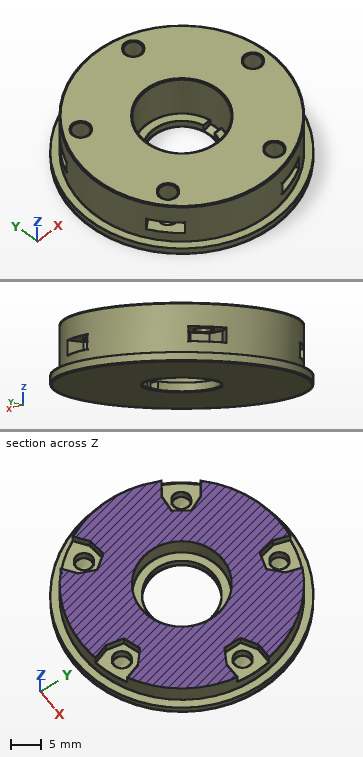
import cadquery as cq
import math

FLANGE_DIAMETER = 43.0
BODY_DIAMETER = 40.0
HEIGHT = 10.0
FLANGE_THICKNESS = 1.5
EDGE_CHAMFER = 0.17

SEAT_DIAMETER = 16.2
SEAT_FLOOR = 1.6
BORE_DIAMETER = 13.0

NOTCH_WIDTH = 2.5
NOTCH_OUTER_FLOOR = 0.7
NOTCH_SLOPE_ANGLE = 18.0

SCREW_COUNT = 5
SCREW_CIRCLE_RADIUS = 16.75
SCREW_DIAMETER = 3.25
SCREW_FLOOR = 2.0
DRILL_TIP_ANGLE = 118.0
NUT_ACROSS_FLATS = 5.5
NUT_ACROSS_CORNERS = NUT_ACROSS_FLATS / math.cos(math.radians(30))
NUT_POCKET_FLOOR = 3.6
NUT_POCKET_HEIGHT = 2.5


def make_body():
    """Flanged disc with a stepped bore and lightly broken edges."""
    flange = cq.Workplane("XY").circle(FLANGE_DIAMETER / 2).extrude(FLANGE_THICKNESS)
    body = cq.Workplane("XY").circle(BODY_DIAMETER / 2).extrude(HEIGHT).union(flange)
    bore = cq.Workplane("XY").circle(BORE_DIAMETER / 2).extrude(HEIGHT)
    seat = cq.Workplane("XY").circle(SEAT_DIAMETER / 2).extrude(HEIGHT).translate((0, 0, SEAT_FLOOR))
    body = body.cut(bore).cut(seat)
    return body.faces("<Z or >Z").edges().chamfer(EDGE_CHAMFER)


def make_notch():
    """Notch on +X with a conical floor that falls from the seat wall to the bore."""
    seat_radius = SEAT_DIAMETER / 2
    cone_depth = seat_radius * math.tan(math.radians(NOTCH_SLOPE_ANGLE))
    space_above_cone = (
        cq.Workplane("XZ")
        .moveTo(seat_radius, NOTCH_OUTER_FLOOR)
        .lineTo(seat_radius, SEAT_FLOOR)
        .lineTo(0, SEAT_FLOOR)
        .lineTo(0, NOTCH_OUTER_FLOOR - cone_depth)
        .close()
        .revolve(360, (0, 0, 0), (0, 1, 0))
    )
    sector = (
        cq.Workplane("XY")
        .center(seat_radius / 2, 0)
        .rect(seat_radius, NOTCH_WIDTH)
        .extrude(SEAT_FLOOR)
    )
    return space_above_cone.intersect(sector)


def make_screw_hole():
    """Drilled hole on +X, with a conical bottom and a chamfered mouth."""
    radius = SCREW_DIAMETER / 2
    tip_depth = radius / math.tan(math.radians(DRILL_TIP_ANGLE / 2))
    profile = (
        cq.Workplane("XZ")
        .moveTo(0, SCREW_FLOOR - tip_depth)
        .lineTo(radius, SCREW_FLOOR)
        .lineTo(radius, HEIGHT - EDGE_CHAMFER)
        .lineTo(radius + EDGE_CHAMFER, HEIGHT)
        .lineTo(0, HEIGHT)
        .close()
    )
    return profile.revolve(360, (0, 0, 0), (0, 1, 0)).translate((SCREW_CIRCLE_RADIUS, 0, 0))


def make_nut_pocket():
    """Hexagonal nut seat on +X, open to the outer wall at its full corner width."""
    mouth_length = FLANGE_DIAMETER / 2 - SCREW_CIRCLE_RADIUS
    centre = cq.Workplane("XY").workplane(offset=NUT_POCKET_FLOOR).center(SCREW_CIRCLE_RADIUS, 0)
    nut = centre.transformed(rotate=(0, 0, 90)).polygon(6, NUT_ACROSS_CORNERS).extrude(NUT_POCKET_HEIGHT)
    mouth = (
        centre.center(mouth_length / 2, 0)
        .rect(mouth_length, NUT_ACROSS_CORNERS)
        .extrude(NUT_POCKET_HEIGHT)
    )
    return nut.union(mouth)


screw_station = make_screw_hole().union(make_nut_pocket())

result = make_body().cut(make_notch())
for index in range(SCREW_COUNT):
    result = result.cut(screw_station.rotate((0, 0, 0), (0, 0, 1), index * 360 / SCREW_COUNT))